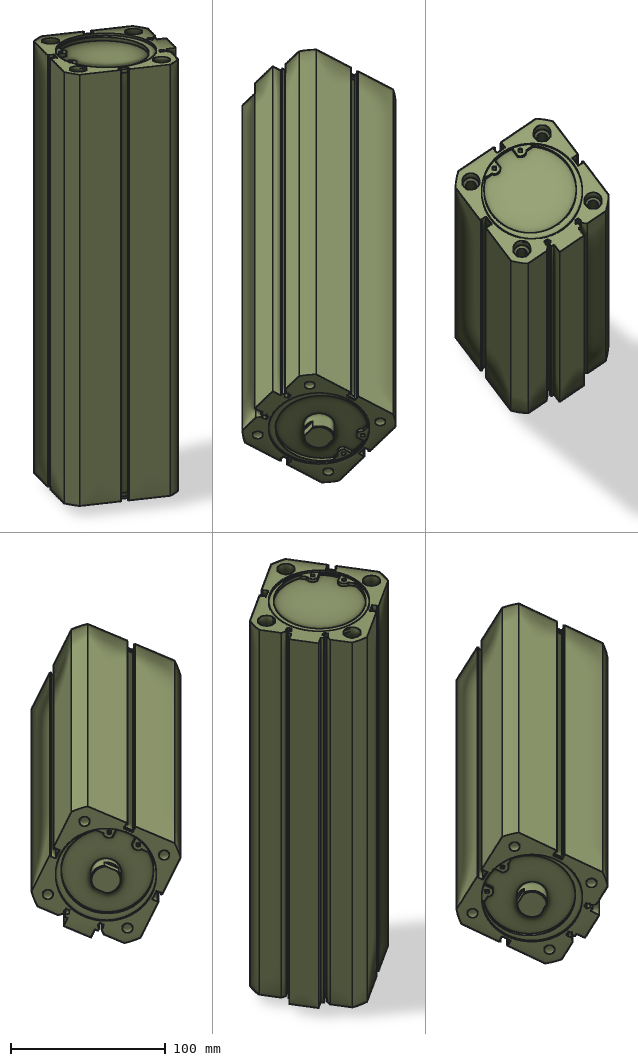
import cadquery as cq

total_length = 304.0
rod_protrusion = 8.2
tube_bottom = rod_protrusion
tube_top = total_length
tube_length = tube_top - tube_bottom

tube_width = 77.5
half_width = tube_width / 2
corner_radius = 49.5
overall_depth = 83.0
rail_top = overall_depth - half_width
rail_half_width = 9.7
bore_radius = 32.5

slot_floor = 34.5
slot_width = 6.5
slot_mouth_width = 4.5
slot_lip = 1.0
slot_mouth_chamfer = 0.5

groove_mouth_outer = 16.0
groove_neck_outer = 13.5
groove_wall_outer = 14.0
groove_floor_outer = 13.5
groove_floor_inner = 11.0
groove_neck_inner = 12.0
groove_belly_inner = 10.0
groove_neck_top = 38.0
groove_neck_bottom = 36.2
groove_belly = 34.7
groove_floor = 32.5

hole_offset = 28.3
hole_diameter = 6.7
counterbore_diameter = 11.2
counterbore_depth = 9.0

ring_thickness = 2.5
ring_recess = 1.5
ring_radius = 34.0
ring_inner_radius = 29.8
ring_inner_offset = 2.0
ring_gap = 13.7
lug_x = 10.3
lug_y = -27.5
lug_radius = 4.0
lug_hole_diameter = 2.7
arm_reach = 18.0
arm_top = -25.2

cover_thickness = 15.2
piston_thickness = 15.2
rod_diameter = 19.8
flat_spacing = 17.0
flat_length = 5.8
rod_end_chamfer = 0.5

top_ring_bottom = tube_top - ring_recess - ring_thickness
bottom_ring_bottom = tube_bottom + ring_recess
bottom_ring_top = bottom_ring_bottom + ring_thickness
end_cover_bottom = top_ring_bottom - cover_thickness
piston_bottom = end_cover_bottom - piston_thickness


def cylinder(radius, bottom, height):
    return cq.Workplane("XY").workplane(offset=bottom).circle(radius).extrude(height)


def block(x_size, y_size, bottom, height, y=0):
    return cq.Workplane("XY").workplane(offset=bottom).center(0, y).rect(x_size, y_size).extrude(height)


def make_slot():
    """T-shaped slot with a bevelled mouth, cut into the -Y face along the whole tube."""
    inner_depth = half_width - slot_lip - slot_floor
    inner = block(slot_width, inner_depth, tube_bottom, tube_length, y=-slot_floor - inner_depth / 2)
    mouth_depth = half_width - slot_floor
    mouth = block(slot_mouth_width, mouth_depth, tube_bottom, tube_length, y=-slot_floor - mouth_depth / 2)
    bevel = (
        cq.Workplane("XY").workplane(offset=tube_bottom)
        .moveTo(-slot_mouth_width / 2 - slot_mouth_chamfer, -half_width)
        .lineTo(slot_mouth_width / 2 + slot_mouth_chamfer, -half_width)
        .lineTo(slot_mouth_width / 2, slot_mouth_chamfer - half_width)
        .lineTo(-slot_mouth_width / 2, slot_mouth_chamfer - half_width)
        .close()
        .extrude(tube_length)
    )
    return inner.union(mouth).union(bevel)


def make_rail_groove():
    """Undercut groove on the +X side of the rail."""
    return (
        cq.Workplane("XY").workplane(offset=tube_bottom)
        .moveTo(rail_half_width, half_width)
        .lineTo(groove_mouth_outer, half_width)
        .lineTo(groove_neck_outer, groove_neck_bottom)
        .lineTo(groove_wall_outer, groove_belly)
        .lineTo(groove_floor_outer, groove_floor)
        .lineTo(groove_floor_inner, groove_floor)
        .lineTo(groove_belly_inner, groove_belly)
        .lineTo(groove_neck_inner, groove_neck_bottom)
        .lineTo(groove_neck_inner, groove_neck_top)
        .lineTo(rail_half_width, groove_neck_top)
        .close()
        .extrude(tube_length)
    )


def make_tube():
    tube = block(tube_width, tube_width, tube_bottom, tube_length)
    tube = tube.intersect(cylinder(corner_radius, tube_bottom, tube_length))
    tube = tube.union(block(2 * rail_half_width, rail_top, tube_bottom, tube_length, y=rail_top / 2))
    groove = make_rail_groove()
    tube = tube.cut(groove).cut(groove.mirror("YZ"))
    for angle in (-90, 0, 90):
        tube = tube.cut(make_slot().rotate((0, 0, 0), (0, 0, 1), angle))
    tube = (
        tube.faces(">Z").workplane(origin=(0, 0, tube_top))
        .rect(2 * hole_offset, 2 * hole_offset, forConstruction=True).vertices()
        .cboreHole(hole_diameter, counterbore_diameter, counterbore_depth)
    )
    tube = tube.cut(cylinder(bore_radius, tube_bottom, tube_length))
    for seat_bottom in (bottom_ring_bottom, top_ring_bottom):
        tube = tube.cut(cylinder(ring_radius, seat_bottom, ring_thickness))
    return tube


def make_retaining_ring(bottom):
    """Internal snap ring, open towards -Y, with a drilled lug on each side of its gap."""
    disc = cylinder(ring_radius, bottom, ring_thickness)
    opening = cylinder(ring_inner_radius, bottom, ring_thickness).translate((0, -ring_inner_offset, 0))
    arm_depth = ring_radius + arm_top
    lugs = block(2 * arm_reach, arm_depth, bottom, ring_thickness, y=arm_top - arm_depth / 2)
    for side in (-1, 1):
        lugs = lugs.union(cylinder(lug_radius, bottom, ring_thickness).translate((side * lug_x, lug_y, 0)))
    ring = disc.cut(opening.cut(lugs))
    ring = ring.cut(block(ring_gap, ring_radius, bottom, ring_thickness, y=-ring_radius / 2))
    for side in (-1, 1):
        hole = cylinder(lug_hole_diameter / 2, bottom, ring_thickness)
        ring = ring.cut(hole.translate((side * lug_x, lug_y, 0)))
    return ring


def make_end_cover():
    return cylinder(bore_radius, end_cover_bottom, cover_thickness)


def make_rod_cover():
    cover = cylinder(bore_radius, bottom_ring_top, cover_thickness)
    return cover.cut(cylinder(rod_diameter / 2, bottom_ring_top, cover_thickness))


def make_piston_rod():
    """Rod with two wrench flats, fully retracted so that its piston rests on the end cover."""
    rod = cylinder(rod_diameter / 2, 0, piston_bottom).faces("<Z").chamfer(rod_end_chamfer)
    flats = cylinder(rod_diameter, 0, flat_length).cut(block(2 * rod_diameter, flat_spacing, 0, flat_length))
    rod = rod.cut(flats)
    return rod.union(cylinder(bore_radius, piston_bottom, piston_thickness))


tube = make_tube()
end_cover = make_end_cover()
rod_cover = make_rod_cover()
piston_rod = make_piston_rod()
rings = [make_retaining_ring(bottom).val() for bottom in (bottom_ring_bottom, top_ring_bottom)]

result = cq.Compound.makeCompound(
    [tube.val(), end_cover.val(), rod_cover.val(), piston_rod.val(), *rings]
)